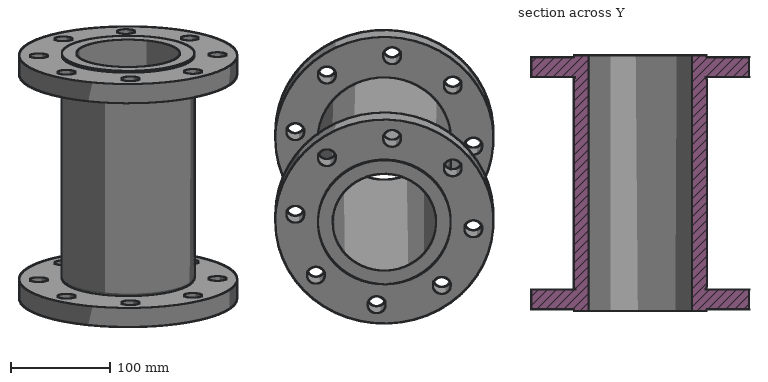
import cadquery as cq

length = 258.0
pipe_diameter = 134.7
bore_diameter = 104.2
pipe_end_radius = 2.8

flange_diameter = 220.0
flange_thickness = 20.0
raised_face_diameter = 134.0
raised_face_height = 1.94

bolt_count = 8
bolt_hole_diameter = 18.0
bolt_circle_diameter = 180.0
first_bolt_angle = 180 / bolt_count

flange_back = raised_face_height + flange_thickness


def make_flange():
    """Flange with its raised face on z = 0 and its back toward +Z."""
    raised_face = (
        cq.Workplane("XY")
        .circle(raised_face_diameter / 2)
        .extrude(raised_face_height)
    )
    disc = (
        cq.Workplane("XY", origin=(0, 0, raised_face_height))
        .circle(flange_diameter / 2)
        .extrude(flange_thickness)
    )
    bolt_holes = (
        cq.Workplane("XY")
        .polarArray(bolt_circle_diameter / 2, first_bolt_angle, 360, bolt_count)
        .circle(bolt_hole_diameter / 2)
        .extrude(flange_back)
    )
    return raised_face.union(disc).cut(bolt_holes)


def make_pipe():
    """Solid pipe body between the flange backs, with both ends rounded."""
    return (
        cq.Workplane("XY", origin=(0, 0, flange_back))
        .circle(pipe_diameter / 2)
        .extrude(length - 2 * flange_back)
        .faces("<Z or >Z")
        .edges()
        .fillet(pipe_end_radius)
    )


bottom_flange = make_flange()
top_flange = bottom_flange.mirror("XY").translate((0, 0, length))
bore = cq.Workplane("XY").circle(bore_diameter / 2).extrude(length)

result = bottom_flange.union(make_pipe()).union(top_flange).cut(bore)